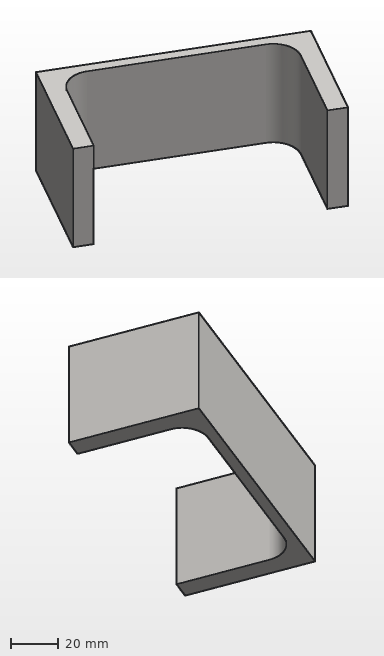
import cadquery as cq

flange_width = 60.0
channel_height = 120.0
length = 50.0
web_thickness = 5.0
flange_thickness = 9.0
root_radius = 12.0

block = cq.Workplane("XY").box(flange_width, channel_height, length)

opening_depth = flange_width - web_thickness
opening_height = channel_height - 2 * flange_thickness
opening = (
    cq.Workplane("XY")
    .box(opening_depth, opening_height, length)
    .edges("|Z and <X")
    .fillet(root_radius)
    .translate((web_thickness / 2, 0, 0))
)

result = block.cut(opening)